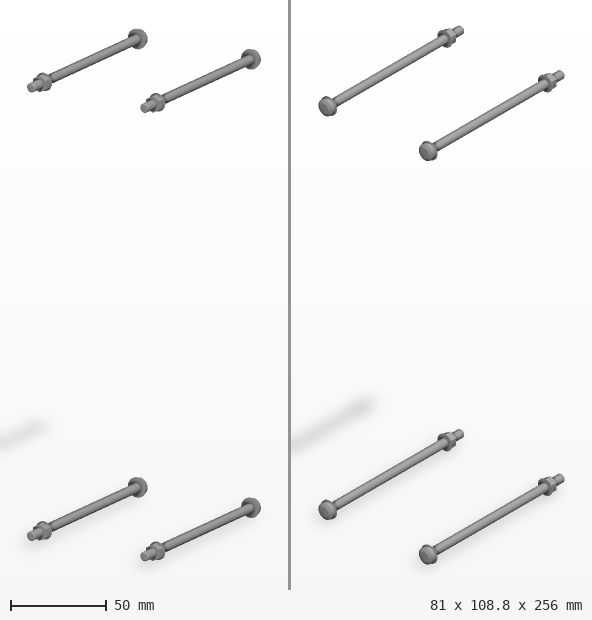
import cadquery as cq
import math


overall_height = 256.0
bolt_spacing_x = 70.0

flange_diameter = 11.0
flange_thickness = 0.5
head_height = 4.0
button_diameter = 9.5
button_top_diameter = 6.1
button_rim_height = 2.5

bolt_spacing_z = overall_height - flange_diameter

overall_length = 108.8
shank_diameter = 5.0
shank_length = overall_length - head_height
tip_chamfer = 0.5

nut_across_flats = 8.0
nut_across_corners = nut_across_flats / math.cos(math.pi / 6)
nut_flange_diameter = 10.0
nut_flange_thickness = 0.3
nut_height = 4.5
tip_beyond_nut = 8.5
nut_end_y = tip_beyond_nut - shank_length


def cylinder_along_y(diameter, start_y, length):
    """A round bar on the Y axis that runs from start_y towards +Y."""
    return cq.Workplane("XZ", origin=(0, start_y, 0)).circle(diameter / 2).extrude(-length)


def make_head():
    """Flange and button as one revolved profile, with a sloped edge around the flat top."""
    flange_radius = flange_diameter / 2
    button_radius = button_diameter / 2
    top_radius = button_top_diameter / 2
    rim_y = flange_thickness + button_rim_height
    return (
        cq.Workplane("XY")
        .lineTo(flange_radius, 0)
        .lineTo(flange_radius, flange_thickness)
        .lineTo(button_radius, flange_thickness)
        .lineTo(button_radius, rim_y)
        .lineTo(top_radius, head_height)
        .lineTo(0, head_height)
        .close()
        .revolve(360, (0, 0, 0), (0, 1, 0))
    )


def make_shank():
    """Plain shank with a chamfered tip."""
    return cylinder_along_y(shank_diameter, -shank_length, shank_length).faces("<Y").chamfer(tip_chamfer)


def make_nut():
    """Flanged hexagon, solid through so that it joins the shank."""
    hexagon = (
        cq.Workplane("XZ", origin=(0, nut_end_y, 0))
        .transformed(rotate=(0, 0, 90))
        .polygon(6, nut_across_corners)
        .extrude(-nut_height)
    )
    flange_start_y = nut_end_y + nut_height - nut_flange_thickness
    return hexagon.union(cylinder_along_y(nut_flange_diameter, flange_start_y, nut_flange_thickness))


def make_bolt():
    """Head, shank and nut as one solid on the Y axis."""
    return make_shank().union(make_head()).union(make_nut())


bolts = []
for side_x in (-1, 1):
    for side_z in (-1, 1):
        bolt_position = (side_x * bolt_spacing_x / 2, 0, side_z * bolt_spacing_z / 2)
        bolts.append(make_bolt().translate(bolt_position).val())

result = cq.Compound.makeCompound(bolts)